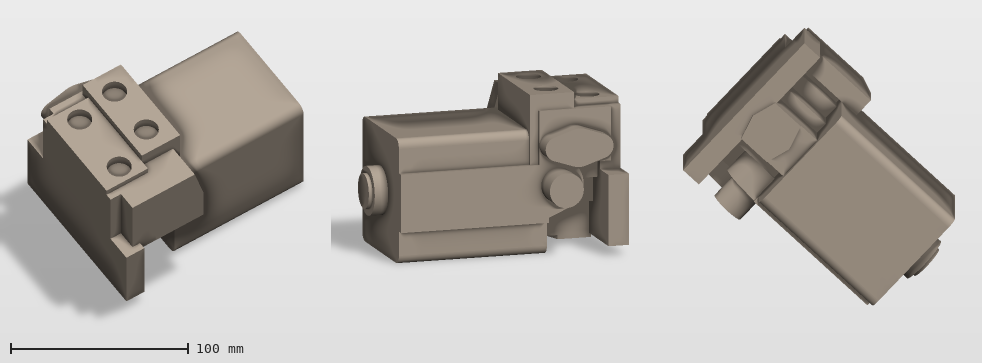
import cadquery as cq
import math


flange_width = 100.0
flange_thickness = 12.1
flange_height = 41.0
deck_height = 77.8

body_width = 68.0
body_height = 71.9
body_bottom = -6.0
body_front = 43.4
body_back = 130.8
body_corner_radius = 5.1
body_middle_height = body_bottom + body_height / 2

core_width = 28.0
core_step_width = 42.3
core_step_height = 20.0
core_shoulder_width = 59.8
core_top_height = 35.8

plug_length = 28.0
plug_flat_length = 19.7
plug_drop = 2.4
plug_middle = 21.0

head_left = -38.2
head_right = 45.7
head_front = 7.0
head_back = 49.2
head_bottom = 46.7
wing_slope_bottom = 56.4
wing_back = 55.1

port_radius = 7.0
port_depth = 6.0
pad_split = 28.0
front_pad_middle = -0.1
front_pad_width = 60.0
front_pad_top = 81.6
front_port_spacing = 39.9
front_port_y = 15.4
rear_pad_middle = -6.0
rear_pad_width = 59.8
rear_pad_back = 54.0
rear_pad_top = 87.0
rear_port_spacing = 32.0
rear_port_y = 40.3

arm_bottom = 13.1
arm_slant_start = 16.1
pivot_y = 38.0
pivot_z = 34.7
arm_end_radius = 15.0
pin_radius = 10.0
pin_left = -54.1

lever_left = -49.9
lever_y = 29.2
lever_z = 58.0
lever_middle_radius = 11.1
lever_end_radius = 7.0
lever_end_offset = 13.0

connector_radius = 14.1
connector_back = 138.7
connector_tip_radius = 10.2
connector_tip_back = 141.0


def box(x_range, y_range, z_range):
    """Block between the given limits on each axis."""
    (x0, x1), (y0, y1), (z0, z1) = x_range, y_range, z_range
    return cq.Workplane("XY").box(x1 - x0, y1 - y0, z1 - z0, centered=False).translate((x0, y0, z0))


def centred(width, middle=0):
    """Limits of a span of the given width about its middle."""
    return middle - width / 2, middle + width / 2


def side_plane(x):
    """Sketch plane facing +X, with Y and Z as its axes."""
    return cq.Workplane("YZ", origin=(x, 0, 0))


def back_cylinder(radius, back):
    """Cylinder on the body axis, from the body's back face."""
    plane = cq.Workplane("XZ", origin=(0, body_back, body_middle_height))
    return plane.circle(radius).extrude(body_back - back)


def make_flange():
    plate = box(centred(flange_width), (0, flange_thickness), (0, flange_height))
    riser = box(centred(body_width), (0, flange_thickness), (0, deck_height))
    return plate.union(riser)


def make_body():
    body = box(
        centred(body_width),
        (body_front, body_back),
        (body_bottom, body_bottom + body_height),
    )
    body = body.edges("|Y").fillet(body_corner_radius)
    connector = back_cylinder(connector_radius, connector_back)
    tip = back_cylinder(connector_tip_radius, connector_tip_back)
    return body.union(connector).union(tip)


def make_core():
    depth = (0, body_front)
    lower = box(centred(core_width), depth, (0, core_step_height))
    middle = box(centred(core_step_width), depth, (core_step_height, core_top_height))
    upper = box(centred(core_shoulder_width), depth, (core_top_height, head_bottom))
    plug = (
        cq.Workplane("XY", origin=(0, plug_middle, -plug_drop))
        .moveTo(0, -plug_length / 2)
        .lineTo(core_width / 2, -plug_flat_length / 2)
        .lineTo(core_width / 2, plug_flat_length / 2)
        .lineTo(0, plug_length / 2)
        .lineTo(-core_width / 2, plug_flat_length / 2)
        .lineTo(-core_width / 2, -plug_flat_length / 2)
        .close()
        .extrude(plug_drop)
    )
    return lower.union(middle).union(upper).union(plug)


def make_head():
    block = box((head_left, body_width / 2), (head_front, head_back), (head_bottom, deck_height))
    wing = (
        side_plane(body_width / 2)
        .moveTo(head_front, core_top_height)
        .lineTo(wing_back, core_top_height)
        .lineTo(wing_back, wing_slope_bottom)
        .lineTo(head_back, deck_height)
        .lineTo(head_front, deck_height)
        .close()
        .extrude(head_right - body_width / 2)
    )
    return block.union(wing)


def make_pads():
    front = box(centred(front_pad_width, front_pad_middle), (0, pad_split), (head_bottom, front_pad_top))
    rear_x = centred(rear_pad_width, rear_pad_middle)
    rear = box(rear_x, (pad_split, rear_pad_back), (head_bottom, rear_pad_top))
    return front.union(rear)


def make_ports(middle, spacing, y, top):
    """Pair of blind holes drilled down from a pad."""
    plane = cq.Workplane("XY", origin=(middle, y, top))
    return plane.pushPoints([(-spacing / 2, 0), (spacing / 2, 0)]).circle(port_radius).extrude(-port_depth)


def make_arm():
    dy = body_front - pivot_y
    dz = arm_slant_start - pivot_z
    tangent_angle = math.atan2(dz, dy) - math.acos(arm_end_radius / math.hypot(dy, dz))
    tangent_y = pivot_y + arm_end_radius * math.cos(tangent_angle)
    tangent_z = pivot_z + arm_end_radius * math.sin(tangent_angle)
    top_y = pivot_y - math.sqrt(arm_end_radius**2 - (head_bottom - pivot_z) ** 2)
    arm = (
        side_plane(head_left)
        .moveTo(body_back, arm_bottom)
        .lineTo(body_front, arm_bottom)
        .lineTo(body_front, arm_slant_start)
        .lineTo(tangent_y, tangent_z)
        .threePointArc((pivot_y - arm_end_radius, pivot_z), (top_y, head_bottom))
        .lineTo(body_back, head_bottom)
        .close()
        .extrude(-core_step_width / 2 - head_left)
    )
    pin = side_plane(pin_left).center(pivot_y, pivot_z).circle(pin_radius).extrude(head_left - pin_left)
    return arm.union(pin)


def make_lever():
    sine = (lever_middle_radius - lever_end_radius) / lever_end_offset
    cosine = math.sqrt(1 - sine**2)
    middle_y = lever_middle_radius * sine
    middle_z = lever_middle_radius * cosine
    end_y = lever_end_offset + lever_end_radius * sine
    end_z = lever_end_radius * cosine
    tip_y = lever_end_offset + lever_end_radius
    return (
        side_plane(lever_left)
        .center(lever_y, lever_z)
        .moveTo(-middle_y, middle_z)
        .threePointArc((0, lever_middle_radius), (middle_y, middle_z))
        .lineTo(end_y, end_z)
        .threePointArc((tip_y, 0), (end_y, -end_z))
        .lineTo(middle_y, -middle_z)
        .threePointArc((0, -lever_middle_radius), (-middle_y, -middle_z))
        .lineTo(-end_y, -end_z)
        .threePointArc((-tip_y, 0), (-end_y, end_z))
        .close()
        .extrude(head_left - lever_left)
    )


result = make_flange()
for piece in (make_body(), make_core(), make_head(), make_pads(), make_arm(), make_lever()):
    result = result.union(piece)
result = result.cut(make_ports(front_pad_middle, front_port_spacing, front_port_y, front_pad_top))
result = result.cut(make_ports(rear_pad_middle, rear_port_spacing, rear_port_y, rear_pad_top))